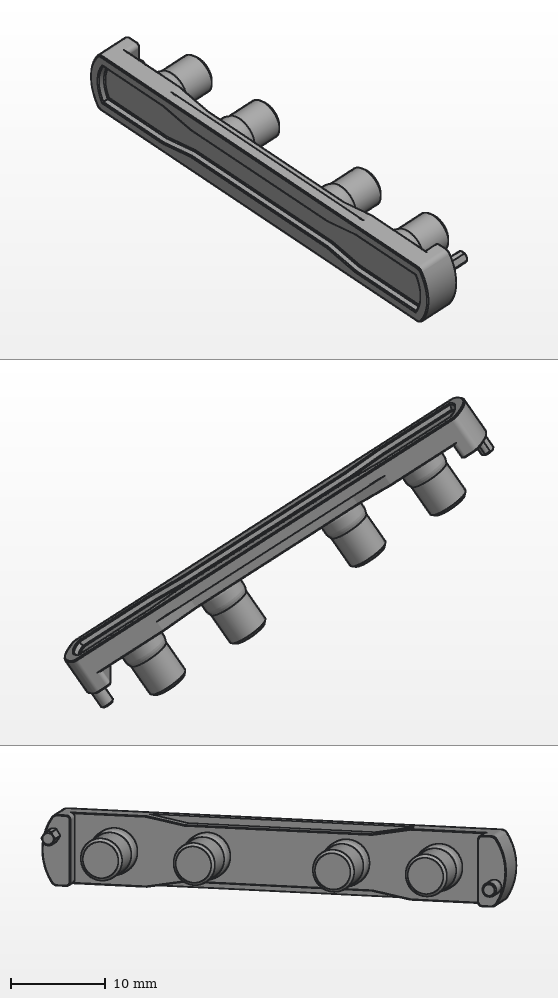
import cadquery as cq
import math

length = 50.8
height = 7.62
bar_depth = 2.54
end_radius = 6.35
corner_radius = 0.76
front_chamfer = 0.13
back_chamfer = 0.1

lug_depth = 4.32
lug_width = 3.12
lug_fillet = 0.5

pocket_margin = 1.1
pocket_end_height = 5.3
waist_drop = 0.76
waist_start = 14.45
waist_end = 10.25
pocket_depth = 0.76
pocket_draft = 22.0
pocket_chamfer = 0.13

recess_front = 1.27

peg_positions = (-17.78, -7.62, 7.62, 17.78)
peg_tip = 8.64
peg_diameter = 4.53
peg_chamfer = 0.32
collar_diameter = 4.92
collar_base_radius = 0.42
collar_blend_radius = 0.75
collar_end = 4.14
collar_taper_end = 4.65

pin_tip = 6.48
pin_diameter = 1.52
pin_inset = 1.27
pin_offset = 1.6
pin_chamfer = 0.15
diamond_land = 0.64


def within(x_limit, y_range, z_limit):
    """Selector for shapes whose centre lies in a box centred on the Y axis."""
    y_min, y_max = y_range
    return cq.selectors.BoxSelector((-x_limit, y_min, -z_limit), (x_limit, y_max, z_limit))


def bowed_outline(half_length, half_height, radius):
    """Horizontal rectangle in XZ whose short sides are outward arcs."""
    sagitta = radius - (radius**2 - half_height**2) ** 0.5
    corner_x = half_length - sagitta
    return (
        cq.Workplane("XZ")
        .moveTo(-corner_x, -half_height)
        .lineTo(corner_x, -half_height)
        .threePointArc((half_length, 0), (corner_x, half_height))
        .lineTo(-corner_x, half_height)
        .threePointArc((-half_length, 0), (-corner_x, -half_height))
        .close()
    )


def body():
    """Bar with a lug at each end."""
    block = bowed_outline(length / 2, height / 2, end_radius).extrude(-lug_depth)
    block = block.edges("|Y").fillet(corner_radius)
    block = block.faces("<Y").edges().chamfer(front_chamfer)

    gap_depth = lug_depth - bar_depth
    gap_width = length - 2 * lug_width
    gap = cq.Workplane("XY").box(gap_width, gap_depth, height)
    gap = gap.translate((0, bar_depth + gap_depth / 2, 0))
    block = block.cut(gap)

    inner_edges = within(gap_width / 2 + lug_fillet, (bar_depth, lug_depth), height)
    return block.edges("|Y").edges(inner_edges).fillet(lug_fillet)


def waisted_prism(growth, start, depth, draft):
    """Pocket outline offset by growth, extruded back from y = start with drafted walls."""
    half_length = length / 2 - pocket_margin + growth
    half_height = pocket_end_height / 2 + growth
    waist_height = half_height - waist_drop
    radius = end_radius - pocket_margin + growth
    corner_x = half_length - radius + (radius**2 - half_height**2) ** 0.5
    narrowing_angle = math.atan2(waist_drop, waist_start - waist_end)
    shift = growth * math.tan(narrowing_angle / 2)
    outer_x = waist_start - shift
    inner_x = waist_end - shift
    return (
        cq.Workplane("XZ", origin=(0, start, 0))
        .moveTo(-corner_x, half_height)
        .lineTo(-outer_x, half_height)
        .lineTo(-inner_x, waist_height)
        .lineTo(inner_x, waist_height)
        .lineTo(outer_x, half_height)
        .lineTo(corner_x, half_height)
        .threePointArc((half_length, 0), (corner_x, -half_height))
        .lineTo(outer_x, -half_height)
        .lineTo(inner_x, -waist_height)
        .lineTo(-inner_x, -waist_height)
        .lineTo(-outer_x, -half_height)
        .lineTo(-corner_x, -half_height)
        .threePointArc((-half_length, 0), (-corner_x, half_height))
        .close()
        .extrude(-depth, taper=draft)
    )


def cut_front_pocket(part):
    """Cut the pocket in three steps: chamfered mouth, drafted wall, chamfered floor edge."""
    chamfer_angle = 45
    wall_depth = pocket_depth - 2 * pocket_chamfer
    steps = (
        (pocket_chamfer, chamfer_angle),
        (wall_depth, pocket_draft),
        (pocket_chamfer, chamfer_angle),
    )
    growth = 0
    start = 0
    for depth, draft in steps:
        part = part.cut(waisted_prism(growth, start, depth, draft))
        growth -= depth * math.tan(math.radians(draft))
        start += depth
    return part


def waist_recess(side):
    """Shallow trapezoid along the top (side = 1) or bottom (side = -1) edge."""
    edge = side * height / 2
    floor = side * (height / 2 - waist_drop)
    return (
        cq.Workplane("XZ", origin=(0, recess_front, 0))
        .moveTo(-waist_start, edge)
        .lineTo(-waist_end, floor)
        .lineTo(waist_end, floor)
        .lineTo(waist_start, edge)
        .close()
        .extrude(-(bar_depth - recess_front))
    )


def peg(x):
    """Round peg with a collar at its root that tapers down to the shank."""
    shank = peg_diameter / 2
    collar = collar_diameter / 2
    root = collar - collar_base_radius
    solid = (
        cq.Workplane("XY")
        .moveTo(0, recess_front)
        .lineTo(root, recess_front)
        .lineTo(root, bar_depth)
        .radiusArc((collar, bar_depth + collar_base_radius), -collar_base_radius)
        .lineTo(collar, collar_end)
        .lineTo(shank, collar_taper_end)
        .lineTo(shank, peg_tip - peg_chamfer)
        .lineTo(shank - peg_chamfer, peg_tip)
        .lineTo(0, peg_tip)
        .close()
        .revolve(360, (0, 0, 0), (0, 1, 0))
    )
    blend_zone = (collar_end - collar_base_radius, collar_end + collar_base_radius)
    blend_edge = within(collar, blend_zone, collar)
    return solid.edges("%CIRCLE").edges(blend_edge).fillet(collar_blend_radius).translate((x, 0, 0))


def round_pin(x, z):
    """Cylindrical pin standing on the bar, pointing along +Y."""
    return (
        cq.Workplane("XZ", origin=(x, bar_depth, z))
        .circle(pin_diameter / 2)
        .extrude(-(pin_tip - bar_depth))
        .faces(">Y")
        .chamfer(pin_chamfer)
    )


def diamond_pin(x, z):
    """Round pin relieved by four flats, keeping round lands above and below."""
    radius = pin_diameter / 2
    half_land = diamond_land / 2
    land_height = (radius**2 - half_land**2) ** 0.5
    rhombus_height = land_height * radius / (radius - half_land)
    rhombus = (
        cq.Workplane("XZ", origin=(x, bar_depth, z))
        .polyline([(-radius, 0), (0, rhombus_height), (radius, 0), (0, -rhombus_height)])
        .close()
        .extrude(-(pin_tip - bar_depth))
    )
    return round_pin(x, z).intersect(rhombus)


def chamfer_back(part):
    """Break the outer edges of the bar's back face and of both lugs."""
    inside_lugs = length / 2 - lug_width - lug_fillet
    back_edges = within(inside_lugs, (bar_depth - back_chamfer, bar_depth + back_chamfer), height)
    part = part.faces("|Y").edges(back_edges).chamfer(back_chamfer)
    return part.faces(">Y").edges().chamfer(back_chamfer)


result = cut_front_pocket(body())
for side in (-1, 1):
    result = result.cut(waist_recess(side))
result = chamfer_back(result)

pin_x = length / 2 - pin_inset
result = result.union(round_pin(-pin_x, -pin_offset))
result = result.union(diamond_pin(pin_x, pin_offset))
for peg_x in peg_positions:
    result = result.union(peg(peg_x))